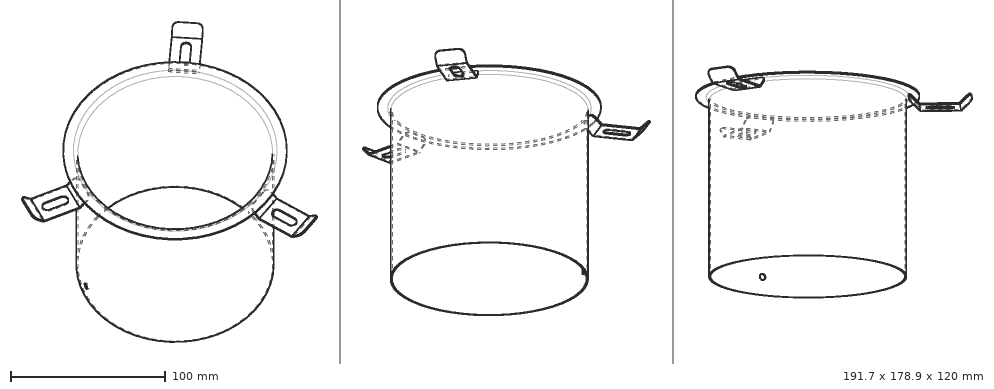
import cadquery as cq
import math

SHEET = 1.0

HEIGHT = 120.0
TUBE_RADIUS = 64.0
FLANGE_RADIUS = 72.5
FLARE_OUTER_RADIUS = 2.0
FLARE_INNER_RADIUS = FLARE_OUTER_RADIUS + SHEET
BORE_RADIUS = TUBE_RADIUS - SHEET
FLANGE_UNDERSIDE = HEIGHT - SHEET

HOLE_DIAMETER = 4.0
HOLE_HEIGHT = 12.0

BRACKET_COUNT = 3
FIRST_BRACKET_ANGLE = -90
BRACKET_WIDTH = 20.0
BRACKET_INNER_END = 65.4
BRACKET_OUTER_END = 106.4
BRACKET_DROP = 9.0
END_CORNER_RADIUS = 4.0
SLOT_LENGTH = 18.0
SLOT_WIDTH = 6.5

BEND_ANGLE = 45
BRACKET_CENTER = (BRACKET_INNER_END + BRACKET_OUTER_END) / 2
BRACKET_BOTTOM = HEIGHT - BRACKET_DROP


def make_sleeve():
    """Thin tube whose top flares through a rounded bend into a flat flange."""
    flare_center_radius = TUBE_RADIUS + FLARE_OUTER_RADIUS
    flare_center_height = FLANGE_UNDERSIDE - FLARE_OUTER_RADIUS
    diagonal = math.sqrt(0.5)

    def flare_midpoint(radius):
        return (flare_center_radius - radius * diagonal, flare_center_height + radius * diagonal)

    sleeve = (
        cq.Workplane("XZ")
        .moveTo(BORE_RADIUS, 0)
        .lineTo(TUBE_RADIUS, 0)
        .lineTo(TUBE_RADIUS, flare_center_height)
        .threePointArc(flare_midpoint(FLARE_OUTER_RADIUS), (flare_center_radius, FLANGE_UNDERSIDE))
        .lineTo(FLANGE_RADIUS, FLANGE_UNDERSIDE)
        .lineTo(FLANGE_RADIUS, HEIGHT)
        .lineTo(flare_center_radius, HEIGHT)
        .threePointArc(flare_midpoint(FLARE_INNER_RADIUS), (BORE_RADIUS, flare_center_height))
        .close()
        .revolve(360, (0, 0, 0), (0, 1, 0))
    )
    hole = (
        cq.Workplane("XZ")
        .center(0, HOLE_HEIGHT)
        .circle(HOLE_DIAMETER / 2)
        .extrude(FLANGE_RADIUS)
    )
    return sleeve.cut(hole)


def make_bracket(angle):
    """Slotted bracket pointing along +X, then turned about Z by the given angle."""
    bend = math.radians(BEND_ANGLE)
    end_step_out = SHEET * math.sin(bend)
    end_step_up = SHEET * math.cos(bend)
    bend_shift = SHEET * math.tan(bend / 2)

    half_length = (BRACKET_OUTER_END - BRACKET_INNER_END) / 2
    end_bottom = FLANGE_UNDERSIDE - end_step_up
    half_flat = half_length - (end_bottom - BRACKET_BOTTOM) / math.tan(bend)
    half_flat_top = half_flat - bend_shift
    half_end_top = half_length - end_step_out

    right_half = [
        (half_flat, BRACKET_BOTTOM),
        (half_length, end_bottom),
        (half_end_top, FLANGE_UNDERSIDE),
        (half_flat_top, BRACKET_BOTTOM + SHEET),
    ]
    left_half = [(-x, z) for x, z in reversed(right_half)]
    strip = (
        cq.Workplane("XZ")
        .polyline(right_half + left_half)
        .close()
        .extrude(BRACKET_WIDTH / 2, both=True)
    )

    corner_edges = []
    for edge in strip.edges("#Y").vals():
        if abs(edge.Center().x) > half_end_top and edge.Length() < 2 * SHEET:
            corner_edges.append(edge)
    strip = strip.newObject(corner_edges).fillet(END_CORNER_RADIUS)

    slot = (
        cq.Workplane("XY", origin=(0, 0, BRACKET_BOTTOM))
        .slot2D(SLOT_LENGTH, SLOT_WIDTH)
        .extrude(SHEET)
    )
    bracket = strip.cut(slot).translate((BRACKET_CENTER, 0, 0))
    return bracket.rotate((0, 0, 0), (0, 0, 1), angle)


sleeve = make_sleeve()

brackets = []
for index in range(BRACKET_COUNT):
    bracket_angle = FIRST_BRACKET_ANGLE + index * 360 / BRACKET_COUNT
    brackets.append(make_bracket(bracket_angle).val())

result = cq.Compound.makeCompound([sleeve.val(), *brackets])